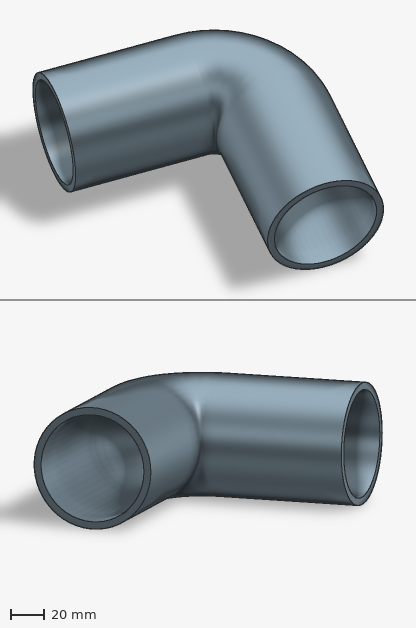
import cadquery as cq

outer_diameter = 75.0
inner_diameter = 66.0

overall_length = 165.5
leg_length = 88.7
bend_angle = 90
bend_radius = overall_length - leg_length - outer_diameter / 2


def elbow(diameter):
    """Solid elbow of the given diameter, with the bend centre at the origin."""
    radius = diameter / 2
    leg_y = cq.Workplane("XZ").center(-bend_radius, 0).circle(radius).extrude(leg_length)
    leg_x = cq.Workplane("YZ").center(bend_radius, 0).circle(radius).extrude(leg_length)
    bend = (
        cq.Workplane("XZ")
        .center(-bend_radius, 0)
        .circle(radius)
        .revolve(bend_angle, (bend_radius, 0), (bend_radius, -1))
    )
    return leg_y.union(bend).union(leg_x)


result = elbow(outer_diameter).cut(elbow(inner_diameter))